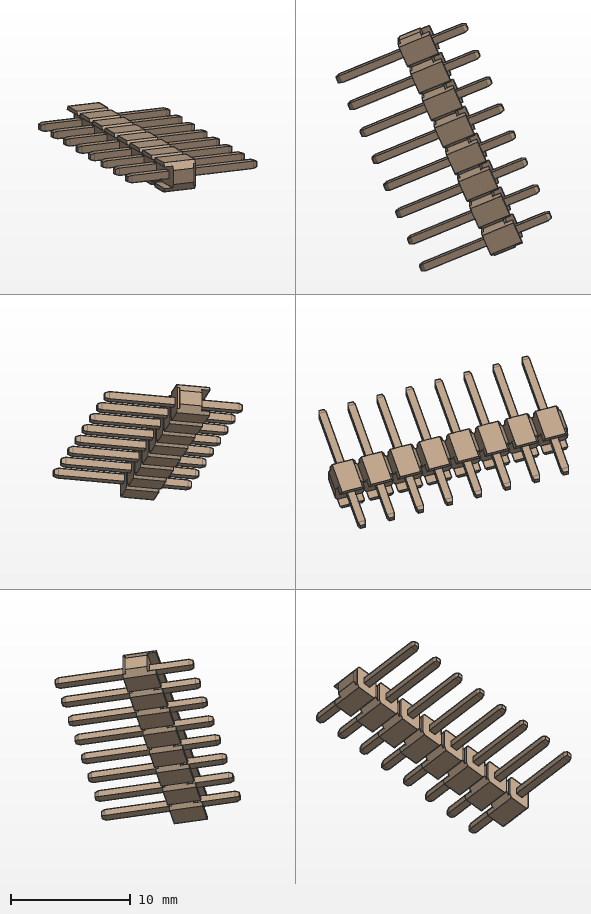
import cadquery as cq

pin_count = 8
row_length = 20.32
pitch = row_length / pin_count

pin_length = 11.8
pin_width = 0.65
tip_width = 0.45
tip_length = 0.33
pin_back = pin_length / 2
pin_front = -pin_back

housing_height = 2.55
side_height = 1.22
top_width = 1.79

front_pin_exposed = 2.99
housing_length = 2.82
housing_front = pin_front + front_pin_exposed
lip_overhang = 0.73
lip_thickness = 0.33
back_pad_depth = 0.2
core_length = housing_length - lip_overhang - back_pad_depth
inner_height = housing_height - 2 * lip_thickness

slope_run = (pitch - top_width) / (housing_height - side_height)
pad_width = top_width + 2 * lip_thickness * slope_run


def section_at(y):
    """Sketch plane across the pins: local X is X, local Y is Z, and negative distances run toward +Y."""
    return cq.Workplane(cq.Plane(origin=(0, y, 0), xDir=(1, 0, 0), normal=(0, -1, 0)))


def make_housing():
    """One octagonal housing position with front lips and a back pad."""
    half_pitch = pitch / 2
    half_top = top_width / 2
    half_side = side_height / 2
    half_height = housing_height / 2
    octagon = [
        (half_pitch, half_side),
        (half_top, half_height),
        (-half_top, half_height),
        (-half_pitch, half_side),
        (-half_pitch, -half_side),
        (-half_top, -half_height),
        (half_top, -half_height),
        (half_pitch, -half_side),
    ]
    block = section_at(housing_front).polyline(octagon).close().extrude(-housing_length)

    front_gap = section_at(housing_front).rect(pitch, inner_height).extrude(-lip_overhang)

    core_back = housing_front + lip_overhang + core_length
    back_step = section_at(core_back).rect(pitch, inner_height).extrude(-back_pad_depth)
    back_pad = section_at(core_back).rect(pad_width, inner_height).extrude(-back_pad_depth)
    return block.cut(front_gap).cut(back_step.cut(back_pad))


def make_tip(y_end, direction):
    """Tapered end of a pin, widening from y_end along the given Y direction."""
    return (
        section_at(y_end)
        .rect(tip_width, tip_width)
        .workplane(offset=-direction * tip_length)
        .rect(pin_width, pin_width)
        .loft(ruled=True)
    )


def make_pin():
    """Square pin with a taper at both ends."""
    shank_length = pin_length - 2 * tip_length
    shank = section_at(pin_front + tip_length).rect(pin_width, pin_width).extrude(-shank_length)
    return shank.union(make_tip(pin_front, 1)).union(make_tip(pin_back, -1))


position = make_housing().union(make_pin())

first_x = (pitch - row_length) / 2
result = position.translate((first_x, 0, 0))
for index in range(1, pin_count):
    result = result.union(position.translate((first_x + index * pitch, 0, 0)))